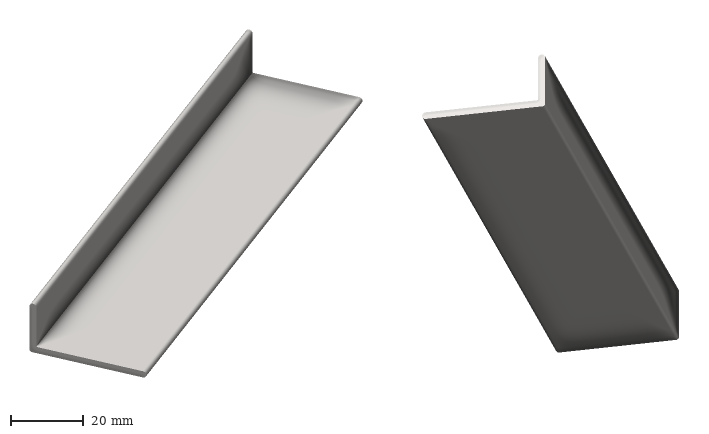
import cadquery as cq

base_width = 34.925
wall_height = 15.875
length = 152.4
thickness = 2.032
corner_radius = 0.762

tip_radius = thickness / 2
wall_round_start = wall_height - tip_radius
base_round_start = base_width - tip_radius


def angle_profile():
    """L section with full-round free edges and a sharp inside corner."""
    return (
        cq.Workplane("XZ")
        .moveTo(0, 0)
        .lineTo(base_round_start, 0)
        .threePointArc((base_width, tip_radius), (base_round_start, thickness))
        .lineTo(thickness, thickness)
        .lineTo(thickness, wall_round_start)
        .threePointArc((tip_radius, wall_height), (0, wall_round_start))
        .close()
    )


def round_outside_corner(angle):
    """Round the long edge where the wall meets the underside of the base."""
    return angle.edges("|Y and <X and <Z").fillet(corner_radius)


straight_angle = angle_profile().extrude(-length)
result = round_outside_corner(straight_angle)